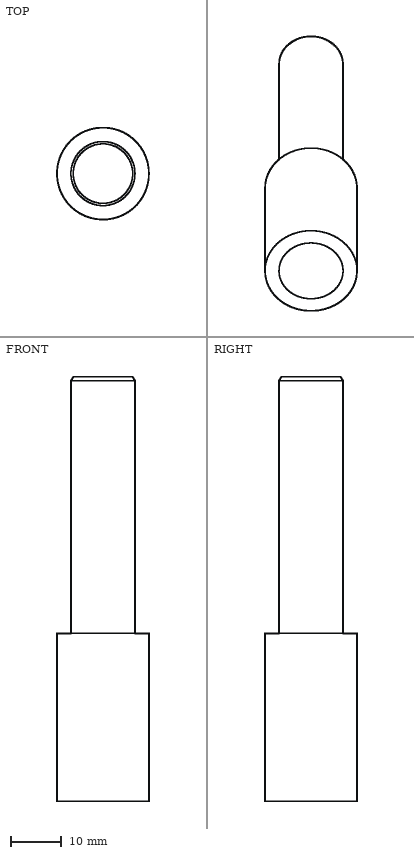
import cadquery as cq

sleeve_diameter = 18.26
sleeve_length = 33.3

pin_diameter = 12.7
pin_exposed_length = 50.8
pin_length = sleeve_length + pin_exposed_length
tip_chamfer_height = 0.8
tip_chamfer_inset = 0.46
pin_tip_diameter = pin_diameter - 2 * tip_chamfer_inset


def make_sleeve():
    """Plain tube whose bore fits the pin."""
    return (
        cq.Workplane("XY")
        .circle(sleeve_diameter / 2)
        .circle(pin_diameter / 2)
        .extrude(sleeve_length)
    )


def make_pin():
    """Round pin running through the sleeve, with a steep chamfer at its top end."""
    return (
        cq.Workplane("XZ")
        .lineTo(pin_diameter / 2, 0)
        .lineTo(pin_diameter / 2, pin_length - tip_chamfer_height)
        .lineTo(pin_tip_diameter / 2, pin_length)
        .lineTo(0, pin_length)
        .close()
        .revolve(360, (0, 0), (0, 1))
    )


sleeve = make_sleeve()
pin = make_pin()

result = cq.Compound.makeCompound([sleeve.val(), pin.val()])